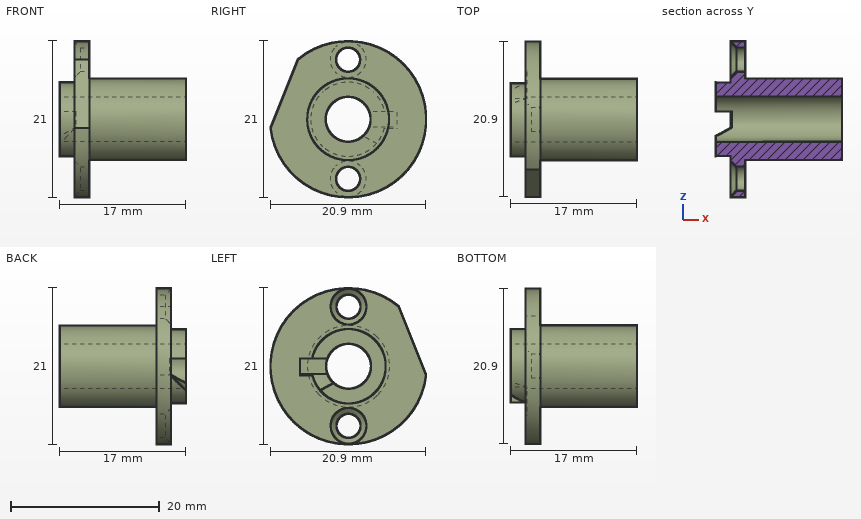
import cadquery as cq
import math

hub_radius = 5.0
hub_length = 2.0
flange_radius = 10.5
flange_thickness = 2.0
sleeve_radius = 5.5
total_length = 17.0
bore_diameter = 6.0

flat_distance = 9.25
flat_angle = 21.8

screw_offset = 8.0
screw_diameter = 3.2
countersink_diameter = 4.8
countersink_angle = 90.0

slot_half_width = 1.02
slot_reach = 6.54
slot_depth_in_flange = 0.22
slot_depth = hub_length + slot_depth_in_flange
ramp_turn = 28.5

flange_end = hub_length + flange_thickness


def disc(start, length, radius):
    """Cylinder on the X axis."""
    plane = cq.Plane((start, 0, 0), xDir=(0, 0, 1), normal=(1, 0, 0))
    return cq.Workplane(plane).circle(radius).extrude(length)


def turned_body():
    hub = disc(0, hub_length, hub_radius)
    flange = disc(hub_length, flange_thickness, flange_radius).cut(flat_cutter())
    sleeve = disc(flange_end, total_length - flange_end, sleeve_radius)
    return hub.union(flange).union(sleeve)


def flat_cutter():
    """Block lying beyond the flat, turned to the flat's direction."""
    size = 2 * flange_radius
    block = cq.Workplane("XY").box(size, size, size)
    block = block.translate((0, -flat_distance - size / 2, 0))
    return block.rotate((0, 0, 0), (1, 0, 0), -flat_angle)


def screw_hole_cutter(z):
    """Through hole with a countersink opening on the hub side of the flange."""
    hole_radius = screw_diameter / 2
    sink_radius = countersink_diameter / 2
    sink_depth = (sink_radius - hole_radius) / math.tan(math.radians(countersink_angle / 2))
    start = cq.Vector(hub_length, 0, z)
    axis = cq.Vector(1, 0, 0)
    hole = cq.Solid.makeCylinder(hole_radius, flange_thickness, start, axis)
    sink = cq.Solid.makeCone(sink_radius, hole_radius, sink_depth, start, axis)
    return cq.Workplane(hole.fuse(sink))


def hub_slot_cutter():
    """Part of the slot within the hub radius; its lower side winds about X from floor to hub face."""
    inner_y = -slot_half_width
    outer_y = slot_reach + slot_half_width
    floor_plane = cq.Plane((slot_depth, 0, 0), xDir=(0, -1, 0), normal=(-1, 0, 0))
    twisted = (
        cq.Workplane(floor_plane)
        .moveTo(-inner_y, -slot_half_width)
        .lineTo(-outer_y, -slot_half_width)
        .lineTo(-outer_y, slot_reach)
        .lineTo(-inner_y, slot_reach)
        .close()
        .twistExtrude(slot_depth, ramp_turn)
    )
    limits_length = 3 * slot_depth
    upper_limit = cq.Workplane("XY").box(
        limits_length, slot_reach, hub_radius + slot_half_width, centered=False
    )
    upper_limit = upper_limit.translate((-slot_depth, 0, -hub_radius))
    limits = disc(-slot_depth, limits_length, hub_radius).intersect(upper_limit)
    return twisted.intersect(limits)


def flange_slot_cutter():
    """Shallow part of the slot outside the hub, with a flat slope along its lower side."""
    turn_at_flange = math.radians(ramp_turn) * slot_depth_in_flange / slot_depth
    rim_angle = math.asin(slot_half_width / hub_radius) + turn_at_flange
    rim_z = -hub_radius * math.sin(rim_angle)
    pocket = (
        cq.Workplane("XZ")
        .moveTo(hub_length, slot_half_width)
        .lineTo(slot_depth, slot_half_width)
        .lineTo(slot_depth, -slot_half_width)
        .lineTo(hub_length, rim_z)
        .close()
        .extrude(-slot_reach)
    )
    return pocket.cut(disc(0, flange_end, hub_radius))


result = turned_body().cut(disc(0, total_length, bore_diameter / 2))
for screw_z in (-screw_offset, screw_offset):
    result = result.cut(screw_hole_cutter(screw_z))
result = result.cut(hub_slot_cutter()).cut(flange_slot_cutter())